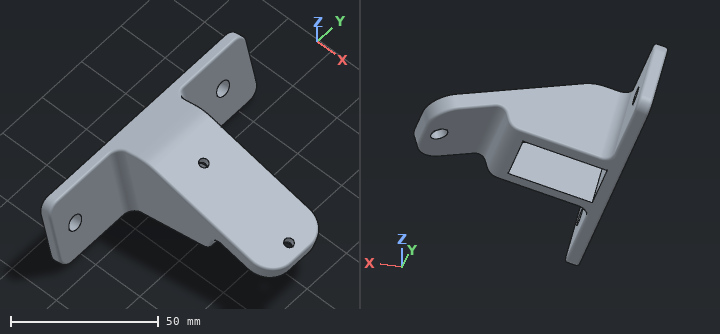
import cadquery as cq
import math

plate_width = 100.0
plate_height = 30.0
plate_thickness = 5.0
plate_corner_radius = 5.0
plate_lean = 13.3
screw_hole_diameter = 6.3
screw_hole_spacing = 75.0
screw_hole_offset = -2.5

arm_width = 30.0
arm_pitch = 15.0
arm_slope = plate_lean + arm_pitch
arm_thickness = 6.5
knee_reach = 17.8
knee_radius = 15.0
slope_length = 60.0
tip_corner_radius = 10.0

step_from_tip = 25.5
step_inner_radius = 3.0
step_outer_radius = 5.0

arm_hole_diameter = 3.6
arm_hole_length = 3.2
counterbore_diameter = 6.0
arm_hole_spacing = 40.0
arm_hole_from_tip = 6.0

gusset_wall = 5.0

junction_radius = 4.0
edge_radius = 1.0

slope_cos = math.cos(math.radians(arm_slope))
slope_sin = math.sin(math.radians(arm_slope))
step_along = slope_length - step_from_tip


def on_slope(along, depth):
    """Profile point at a distance down the slope from the knee and a depth below it."""
    return (
        knee_reach + along * slope_cos - depth * slope_sin,
        plate_height - along * slope_sin - depth * slope_cos,
    )


def extrude_profile(points, width):
    """Prism of a side profile, centred across the part."""
    return cq.Workplane("XZ").polyline(points).close().extrude(width / 2, both=True)


def nearest_edge(body, x, y, z):
    return body.edges(cq.selectors.NearestToPointSelector((x, y, z)))


def round_profile_corner(body, point, radius):
    """Round the edge that crosses the full width at a profile point."""
    return nearest_edge(body, point[0], 0, point[1]).fillet(radius)


def make_plate():
    centered = (False, True, False)
    plate = cq.Workplane("XY").box(plate_thickness, plate_width, plate_height, centered=centered)
    return plate.edges("|X").fillet(plate_corner_radius)


def make_arm():
    knee = (knee_reach, plate_height)
    tip_top = on_slope(slope_length, 0)
    tip_bottom = on_slope(slope_length, arm_thickness)
    step_top = on_slope(step_along, arm_thickness)
    step_bottom = (step_top[0] - step_top[1] * slope_sin / slope_cos, 0)
    back = [(0, 0), (0, plate_height)]
    arm = extrude_profile(back + [knee, tip_top, tip_bottom, step_top, step_bottom], arm_width)

    arm = round_profile_corner(arm, knee, knee_radius)
    arm = round_profile_corner(arm, step_top, step_inner_radius)
    arm = round_profile_corner(arm, step_bottom, step_outer_radius)
    tip_middle = on_slope(slope_length, arm_thickness / 2)
    for side in (-1, 1):
        corner = nearest_edge(arm, tip_middle[0], side * arm_width / 2, tip_middle[1])
        arm = corner.fillet(tip_corner_radius)
    return arm


def round_edges(body):
    """Blend the arm into the plate, then soften the outline; each fillet runs on along tangent edges."""
    for side in (-1, 1):
        corner = nearest_edge(body, plate_thickness, side * arm_width / 2, plate_height / 2)
        body = corner.fillet(junction_radius)

    body = nearest_edge(body, 0, 0, plate_height).fillet(edge_radius)
    tip_top = on_slope(slope_length, 0)
    body = nearest_edge(body, tip_top[0], 0, tip_top[1]).fillet(edge_radius)
    return body


def make_hollow():
    """Space under the arm between the plate, the side walls and the step wall."""
    roof_knee = on_slope(-arm_thickness * math.tan(math.radians(arm_slope / 2)), arm_thickness)
    end_top = on_slope(step_along - gusset_wall, arm_thickness)
    end_bottom = on_slope(step_along - gusset_wall, plate_height)
    plate_top = (plate_thickness, plate_height - arm_thickness)
    plate_bottom = (plate_thickness, end_bottom[1])
    return extrude_profile([plate_bottom, plate_top, roof_knee, end_top, end_bottom], arm_width - 2 * gusset_wall)


def make_plate_holes():
    sides = (-1, 1)
    centers = [(screw_hole_offset + side * screw_hole_spacing / 2, plate_height / 2) for side in sides]
    holes = cq.Workplane("YZ").pushPoints(centers).circle(screw_hole_diameter / 2)
    return holes.extrude(plate_thickness)


def make_arm_hole(along):
    """Small hole from the slope down, widened to a counterbore for the rest of the arm thickness."""
    top_x, top_z = on_slope(along, 0)
    top_plane = cq.Plane(origin=(top_x, 0, top_z), xDir=(0, 1, 0), normal=(-slope_sin, 0, -slope_cos))
    hole = cq.Workplane(top_plane).circle(arm_hole_diameter / 2).extrude(arm_hole_length)
    counterbore = (
        cq.Workplane(top_plane)
        .workplane(offset=arm_hole_length)
        .circle(counterbore_diameter / 2)
        .extrude(arm_thickness - arm_hole_length)
    )
    return hole.union(counterbore)


bracket = round_edges(make_plate().union(make_arm()))
bracket = bracket.cut(make_hollow()).cut(make_plate_holes())
tip_hole_along = slope_length - arm_hole_from_tip
for along in (tip_hole_along - arm_hole_spacing, tip_hole_along):
    bracket = bracket.cut(make_arm_hole(along))

result = bracket.rotate((0, 0, 0), (0, 1, 0), -plate_lean)